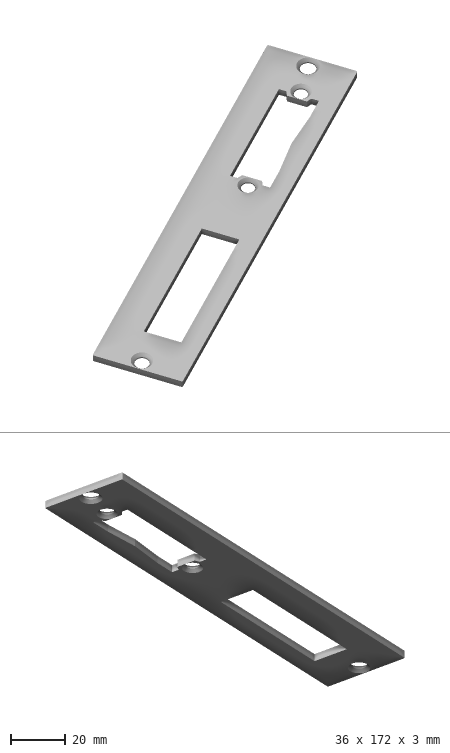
import cadquery as cq

PLATE_WIDTH = 36.0
PLATE_LENGTH = 172.0
PLATE_THICKNESS = 3.0
CORNER_RADIUS = 0.5

CUTOUT_X = 2.5

BOLT_WIDTH = 15.0
BOLT_LENGTH = 57.0
BOLT_Y = -39.0

LATCH_WIDTH = 16.0
LATCH_LENGTH = 48.0
LATCH_Y = 42.5
RIDGE_HALF_LENGTH = 15.0
RIDGE_HEIGHT = 1.2

TAB_BASE_WIDTH = 10.0
TAB_TIP_WIDTH = 8.0
TAB_REACH = 2.0

END_HOLE_SPACING = 163.2
UPPER_END_HOLE_DIAMETER = 6.2
LOWER_END_HOLE_DIAMETER = 5.8
INNER_HOLE_SPACING = 52.0
INNER_HOLE_DIAMETER = 5.4
SINK_DEPTH = 1.25


def make_plate():
    plate = cq.Workplane("XY").rect(PLATE_WIDTH, PLATE_LENGTH).extrude(PLATE_THICKNESS)
    return plate.edges("|Z").fillet(CORNER_RADIUS)


def make_bolt_window():
    return (
        cq.Workplane("XY")
        .center(CUTOUT_X, BOLT_Y)
        .rect(BOLT_WIDTH, BOLT_LENGTH)
        .extrude(PLATE_THICKNESS)
    )


def make_latch_window():
    half_width = LATCH_WIDTH / 2
    half_length = LATCH_LENGTH / 2
    half_base = TAB_BASE_WIDTH / 2
    half_tip = TAB_TIP_WIDTH / 2
    tip = half_length - TAB_REACH
    return (
        cq.Workplane("XY")
        .center(CUTOUT_X, LATCH_Y)
        .moveTo(-half_width, -half_length)
        .lineTo(-half_base, -half_length)
        .lineTo(-half_tip, -tip)
        .lineTo(half_tip, -tip)
        .lineTo(half_base, -half_length)
        .lineTo(half_width, -half_length)
        .lineTo(half_width, -RIDGE_HALF_LENGTH)
        .lineTo(half_width - RIDGE_HEIGHT, 0)
        .lineTo(half_width, RIDGE_HALF_LENGTH)
        .lineTo(half_width, half_length)
        .lineTo(half_base, half_length)
        .lineTo(half_tip, tip)
        .lineTo(-half_tip, tip)
        .lineTo(-half_base, half_length)
        .lineTo(-half_width, half_length)
        .close()
        .extrude(PLATE_THICKNESS)
    )


def make_screw_hole(x, y, diameter):
    """Cutter for a through hole at (x, y) with a 45 degree countersink on each face."""
    radius = diameter / 2
    sink_radius = radius + SINK_DEPTH
    return (
        cq.Workplane("XZ")
        .moveTo(0, 0)
        .lineTo(sink_radius, 0)
        .lineTo(radius, SINK_DEPTH)
        .lineTo(radius, PLATE_THICKNESS - SINK_DEPTH)
        .lineTo(sink_radius, PLATE_THICKNESS)
        .lineTo(0, PLATE_THICKNESS)
        .close()
        .revolve(360, (0, 0), (0, 1))
        .translate((x, y, 0))
    )


SCREW_HOLES = [
    (0, END_HOLE_SPACING / 2, UPPER_END_HOLE_DIAMETER),
    (0, -END_HOLE_SPACING / 2, LOWER_END_HOLE_DIAMETER),
    (CUTOUT_X, LATCH_Y + INNER_HOLE_SPACING / 2, INNER_HOLE_DIAMETER),
    (CUTOUT_X, LATCH_Y - INNER_HOLE_SPACING / 2, INNER_HOLE_DIAMETER),
]

result = make_plate().cut(make_bolt_window()).cut(make_latch_window())
for hole_x, hole_y, hole_diameter in SCREW_HOLES:
    result = result.cut(make_screw_hole(hole_x, hole_y, hole_diameter))